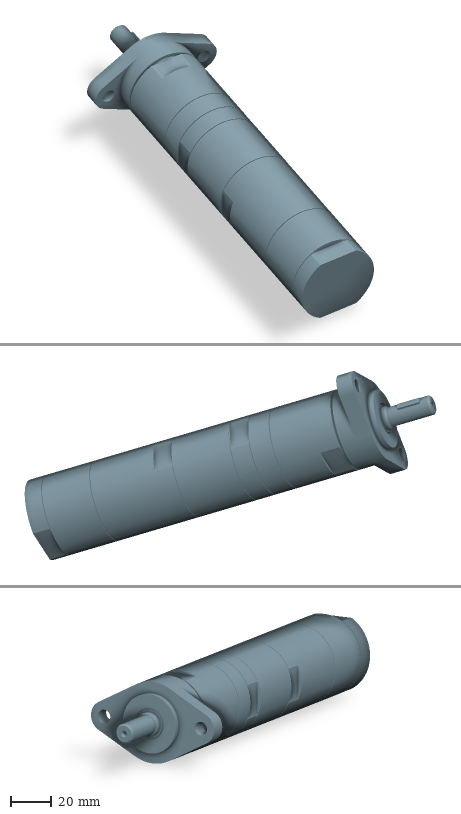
import cadquery as cq
import math

TOTAL_LENGTH = 211.5

SHAFT_D = 10.0
SHAFT_TIP_CHAMFER = 0.8
CENTRE_HOLE_D = 1.6
CENTRE_HOLE_DEPTH = 4.2
COUNTERSINK_D = 3.4

KEY_START = 4.9
KEY_LENGTH = 12.0
KEY_WIDTH = 3.0
KEY_TOP = 6.0

COLLAR_START = 23.9
COLLAR_D = 12.0
CONE_LENGTH = (COLLAR_D - SHAFT_D) / 2

PILOT_START = 25.5
PILOT_D = 30.0
RING_GROOVE_D = 16.0
RING_GROOVE_WIDTH = 0.75
RING_GROOVE_DEPTH = 0.6

FLANGE_START = 28.8
FLANGE_THICKNESS = 8.2
FLANGE_SPAN = 70.0
EAR_R = 8.0
BOLT_SPACING = 55.0
BOLT_HOLE_D = 7.0

BODY_D = 41.5
CUTTER_D = BODY_D + 2.1
FRONT_GROOVE_D = 38.0
FRONT_GROOVE_START = 45.2
FRONT_GROOVE_WIDTH = 1.3
FINE_GROOVE_D = 40.2
FINE_GROOVE_WIDTH = 0.5
FINE_GROOVE_STARTS = (79.3, 90.7, 100.8, 132.1, 176.0, 202.0)

FLAT_WIDTH = 37.6
END_FLAT_WIDTH = 36.0
FLATS_FACING_Z = (
    (FRONT_GROOVE_START + FRONT_GROOVE_WIDTH, 57.0, FLAT_WIDTH),
    (FINE_GROOVE_STARTS[5], TOTAL_LENGTH, END_FLAT_WIDTH),
)
FLATS_FACING_Y = (
    (FINE_GROOVE_STARTS[1], FINE_GROOVE_STARTS[2], FLAT_WIDTH),
    (FINE_GROOVE_STARTS[3], 142.0, FLAT_WIDTH),
)


def cylinder(start, length, diameter):
    """Solid cylinder on the X axis."""
    return cq.Workplane("YZ", origin=(start, 0, 0)).circle(diameter / 2).extrude(length)


def ring(start, length, outer_d, inner_d):
    """Ring on the X axis, used to cut grooves."""
    outline = cq.Workplane("YZ", origin=(start, 0, 0)).circle(outer_d / 2).circle(inner_d / 2)
    return outline.extrude(length)


def turned_core():
    """Shaft, collar, pilot and housing as one revolved profile."""
    shaft_r = SHAFT_D / 2
    return (
        cq.Workplane("XY")
        .moveTo(0, 0)
        .lineTo(0, shaft_r - SHAFT_TIP_CHAMFER)
        .lineTo(SHAFT_TIP_CHAMFER, shaft_r)
        .lineTo(COLLAR_START - CONE_LENGTH, shaft_r)
        .lineTo(COLLAR_START, COLLAR_D / 2)
        .lineTo(PILOT_START, COLLAR_D / 2)
        .lineTo(PILOT_START, PILOT_D / 2)
        .lineTo(FLANGE_START, PILOT_D / 2)
        .lineTo(FLANGE_START, BODY_D / 2)
        .lineTo(TOTAL_LENGTH, BODY_D / 2)
        .lineTo(TOTAL_LENGTH, 0)
        .close()
        .revolve(360, (0, 0, 0), (1, 0, 0))
    )


def flange():
    """Two rounded ears tangent to the housing, joined by chords inside it."""
    body_r = BODY_D / 2
    ear_y = FLANGE_SPAN / 2 - EAR_R
    along_y = (body_r - EAR_R) / ear_y
    along_z = math.sqrt(1 - along_y**2)
    body_tangent = (body_r * along_y, body_r * along_z)
    ear_tangent = (ear_y + EAR_R * along_y, EAR_R * along_z)
    return (
        cq.Workplane("YZ", origin=(FLANGE_START, 0, 0))
        .moveTo(-body_tangent[0], body_tangent[1])
        .lineTo(*body_tangent)
        .lineTo(*ear_tangent)
        .threePointArc((FLANGE_SPAN / 2, 0), (ear_tangent[0], -ear_tangent[1]))
        .lineTo(body_tangent[0], -body_tangent[1])
        .lineTo(-body_tangent[0], -body_tangent[1])
        .lineTo(-ear_tangent[0], -ear_tangent[1])
        .threePointArc((-FLANGE_SPAN / 2, 0), (-ear_tangent[0], ear_tangent[1]))
        .close()
        .extrude(FLANGE_THICKNESS)
    )


def bolt_holes():
    """Through holes in the two flange ears."""
    return (
        cq.Workplane("YZ", origin=(FLANGE_START, 0, 0))
        .pushPoints([(-BOLT_SPACING / 2, 0), (BOLT_SPACING / 2, 0)])
        .circle(BOLT_HOLE_D / 2)
        .extrude(FLANGE_THICKNESS)
    )


def key():
    """Rectangular key that reaches from the shaft axis out to +Y."""
    block = cq.Workplane("XY").box(KEY_LENGTH, KEY_TOP, KEY_WIDTH, centered=(False, False, True))
    return block.translate((KEY_START, 0, 0))


def centre_hole():
    """Countersunk centre hole in the shaft tip."""
    countersink_depth = (COUNTERSINK_D - CENTRE_HOLE_D) / 2
    return (
        cq.Workplane("XY")
        .moveTo(0, 0)
        .lineTo(0, COUNTERSINK_D / 2)
        .lineTo(countersink_depth, CENTRE_HOLE_D / 2)
        .lineTo(CENTRE_HOLE_DEPTH, CENTRE_HOLE_D / 2)
        .lineTo(CENTRE_HOLE_DEPTH, 0)
        .close()
        .revolve(360, (0, 0, 0), (1, 0, 0))
    )


def flat_pair(start, end, across, turn):
    """Material outside two parallel flats; turn = 0 faces them to Z, turn = 90 to Y."""
    length = end - start
    stock = cylinder(start, length, CUTTER_D)
    kept = cq.Workplane("XY").box(length, CUTTER_D, across).translate((start + length / 2, 0, 0))
    return stock.cut(kept).rotate((0, 0, 0), (1, 0, 0), turn)


result = turned_core().union(flange()).union(key())
result = result.cut(bolt_holes()).cut(centre_hole())
result = result.cut(
    ring(PILOT_START, RING_GROOVE_DEPTH, RING_GROOVE_D, RING_GROOVE_D - 2 * RING_GROOVE_WIDTH)
)

result = result.cut(ring(FRONT_GROOVE_START, FRONT_GROOVE_WIDTH, CUTTER_D, FRONT_GROOVE_D))
for groove_start in FINE_GROOVE_STARTS:
    result = result.cut(ring(groove_start, FINE_GROOVE_WIDTH, CUTTER_D, FINE_GROOVE_D))

for flat_start, flat_end, flat_across in FLATS_FACING_Z:
    result = result.cut(flat_pair(flat_start, flat_end, flat_across, 0))
for flat_start, flat_end, flat_across in FLATS_FACING_Y:
    result = result.cut(flat_pair(flat_start, flat_end, flat_across, 90))